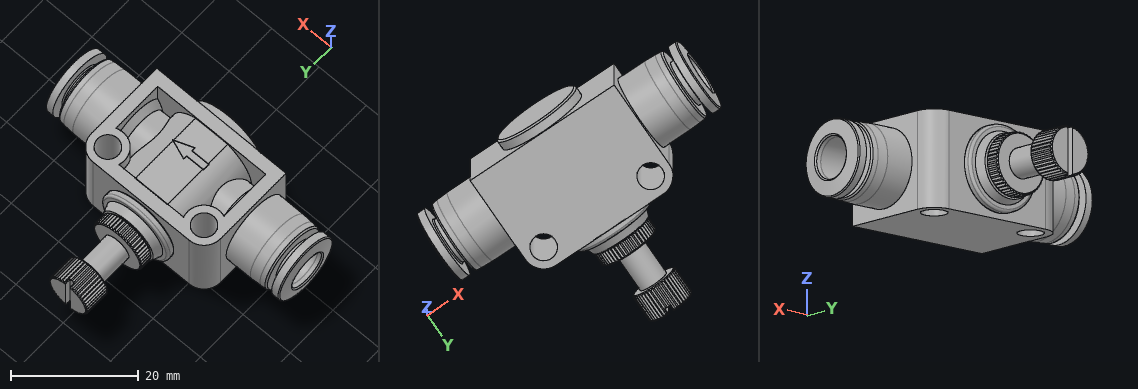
import cadquery as cq
import math

overlap = 0.5

body_length = 27.35
body_height = 16.0
body_front = -7.55
body_back = 11.3
corner_radius = 3.5
mount_hole_radius = 2.15
mount_hole_x = body_length / 2 - corner_radius
mount_hole_y = body_back - corner_radius

side_wall = 2.25
front_wall = 2.3
back_wall = 2.4
pocket_floor_z = 0.0
pocket_length = body_length - 2 * side_wall
pocket_front = body_front + front_wall
pocket_back = body_back - back_wall
chamber_radius = 8.4
chamber_flat_width = 6.8
chamber_flat_z = math.sqrt(chamber_radius**2 - (chamber_flat_width / 2) ** 2)
inner_tube_radius = 5.05
inner_tube_flare = 1.25

arrow_tail_x = -3.55
arrow_tip_x = 3.5
arrow_shaft_width = 1.25
arrow_head_width = 2.6
arrow_thickness = 0.15

fitting_end = 25.05
ring_inner_face = 23.15
collar_end = 22.0
collar_bevel_start = 21.7
collar_land_start = 20.75
collar_taper_start = 18.8
fitting_radius = 6.5
collar_land_radius = 6.4
collar_bevel_radius = 6.3
collar_end_radius = 6.05
groove_radius = 4.05
groove_root_radius = 4.2
groove_root_width = 0.25
ring_radius = 6.35
ring_face_radius = 6.15
ring_face_drop = 0.35
ring_edge_width = 0.2
mouth_radius = 3.75
mouth_chamfer = 0.25
tube_bore_lead_depth = 1.0
tube_bore_radius = 3.4
tube_bore_depth = 10.0
flow_bore_radius = 2.55

cap_radius = 7.5
cap_front = -9.35
cap_chamfer = 0.3

flange_radius = 7.05
flange_top = 12.8
flange_round = 0.45
flange_bottom_chamfer = 0.15
cone_base_radius = 5.9
cone_top_radius = 5.3
cone_top = 14.4
nut_radius = 5.1
nut_top = 16.95
nut_teeth = 48
stem_radius = 2.5
knob_radius = 4.05
knob_bottom = 23.5
knob_top = 28.5
knob_teeth = 40
tooth_depth = 0.25
knurl_chamfer = 0.3
slot_width = 0.95
slot_depth = 1.05


def cylinder_y(radius, start, end):
    """Cylinder around the Y axis between two Y positions."""
    return cq.Workplane("XZ", origin=(0, start, 0)).circle(radius).extrude(start - end)


def revolve_x(points):
    """Solid of revolution around X from (x, radius) points."""
    return cq.Workplane("XY").polyline(points).close().revolve(360, (0, 0), (1, 0))


def both_ends(solid):
    """The solid together with its mirror image at the other end of X."""
    return solid.union(solid.mirror("YZ"))


def block():
    """Rectangular body with its two back corners rounded."""
    depth = body_back - body_front
    middle_y = (body_front + body_back) / 2
    box = cq.Workplane("XY").box(body_length, depth, body_height).translate((0, middle_y, 0))
    return box.edges("|Z and >Y").fillet(corner_radius)


def mount_posts(radius):
    """Full-height cylinders on the two mounting hole axes."""
    return (
        cq.Workplane("XY", origin=(0, 0, -body_height / 2))
        .pushPoints([(-mount_hole_x, mount_hole_y), (mount_hole_x, mount_hole_y)])
        .circle(radius)
        .extrude(body_height)
    )


def chamber():
    """Valve chamber around Y, flattened on top."""
    barrel = cylinder_y(chamber_radius, body_front, body_back)
    above_flat = (
        cq.Workplane("XY", origin=(0, 0, chamber_flat_z))
        .rect(2 * chamber_radius, 2 * body_length)
        .extrude(chamber_radius)
    )
    return barrel.cut(above_flat)


def inner_tube():
    """Flow tube inside the pocket, flared where it meets the right-hand side wall."""
    wall_x = pocket_length / 2
    return revolve_x(
        [
            (0, 0),
            (0, inner_tube_radius),
            (wall_x - inner_tube_flare, inner_tube_radius),
            (wall_x, inner_tube_radius + inner_tube_flare),
            (wall_x + overlap, inner_tube_radius + inner_tube_flare),
            (wall_x + overlap, 0),
        ]
    )


def pocket():
    """Hollow between the body walls and the features standing in it."""
    depth = pocket_back - pocket_front
    middle_y = (pocket_front + pocket_back) / 2
    hollow = (
        cq.Workplane("XY", origin=(0, middle_y, pocket_floor_z))
        .rect(pocket_length, depth)
        .extrude(body_height)
    )
    return hollow.cut(chamber()).cut(both_ends(inner_tube())).cut(mount_posts(corner_radius))


def arrow():
    """Flow direction arrow pointing to +X."""
    half_shaft = arrow_shaft_width / 2
    half_head = arrow_head_width / 2
    return (
        cq.Workplane("XY", origin=(0, 0, chamber_flat_z - overlap))
        .polyline(
            [
                (arrow_tail_x, -half_shaft),
                (0, -half_shaft),
                (0, -half_head),
                (arrow_tip_x, 0),
                (0, half_head),
                (0, half_shaft),
                (arrow_tail_x, half_shaft),
            ]
        )
        .close()
        .extrude(overlap + arrow_thickness)
    )


def fitting():
    """Right-hand tube fitting: tapered collar, groove and release ring."""
    ring_face_x = fitting_end - ring_face_drop
    return revolve_x(
        [
            (body_length / 2 - overlap, 0),
            (body_length / 2 - overlap, fitting_radius),
            (collar_taper_start, fitting_radius),
            (collar_land_start, collar_land_radius),
            (collar_bevel_start, collar_bevel_radius),
            (collar_end, collar_end_radius),
            (collar_end, groove_radius),
            (ring_inner_face - groove_root_width, groove_radius),
            (ring_inner_face, groove_root_radius),
            (ring_inner_face, ring_radius),
            (ring_face_x - ring_edge_width, ring_radius),
            (ring_face_x, ring_face_radius),
            (fitting_end, mouth_radius),
            (fitting_end, 0),
        ]
    )


def tube_socket():
    """Stepped bore of the right-hand fitting, with a chamfered mouth and a slight lead-in."""
    socket_bottom = fitting_end - tube_bore_depth
    return revolve_x(
        [
            (socket_bottom, 0),
            (socket_bottom, tube_bore_radius),
            (fitting_end - tube_bore_lead_depth, tube_bore_radius),
            (fitting_end - mouth_chamfer, mouth_radius - mouth_chamfer),
            (fitting_end, mouth_radius),
            (fitting_end, 0),
        ]
    )


def knurled_disc(radius, teeth, start, end):
    """Disc around Y with straight V-shaped teeth and chamfered rims."""
    points = []
    for i in range(2 * teeth):
        angle = math.pi * i / teeth
        r = radius - tooth_depth * (i % 2)
        points.append((r * math.cos(angle), r * math.sin(angle)))
    toothed = cq.Workplane("XZ", origin=(0, start, 0)).polyline(points).close().extrude(start - end)
    envelope = cylinder_y(radius, start, end).edges().chamfer(knurl_chamfer)
    return toothed.intersect(envelope)


def screw_base():
    """Flange with a rounded top rim and chamfered bottom rim, and the cone above it."""
    disc = cylinder_y(flange_radius, body_back, flange_top)
    flange = disc.edges(">Y").fillet(flange_round).edges("<Y").chamfer(flange_bottom_chamfer)
    cone = (
        cq.Workplane("XY")
        .polyline(
            [
                (0, flange_top),
                (cone_base_radius, flange_top),
                (cone_top_radius, cone_top),
                (0, cone_top),
            ]
        )
        .close()
        .revolve(360, (0, 0), (0, 1))
    )
    return flange.union(cone)


def knob():
    """Knurled knob with a screwdriver slot along Z."""
    slot = cq.Workplane("XY").box(slot_width, 2 * slot_depth, 3 * knob_radius).translate((0, knob_top, 0))
    return knurled_disc(knob_radius, knob_teeth, knob_bottom, knob_top).cut(slot)


cap = cylinder_y(cap_radius, cap_front, body_front + overlap).edges("<Y").chamfer(cap_chamfer)
stem = cylinder_y(stem_radius, body_back, knob_bottom + overlap)
flow_bore = cq.Workplane("YZ").circle(flow_bore_radius).extrude(fitting_end, both=True)

result = (
    block()
    .cut(pocket())
    .union(arrow())
    .union(both_ends(fitting()))
    .union(cap)
    .union(screw_base())
    .union(stem)
    .union(knurled_disc(nut_radius, nut_teeth, cone_top, nut_top))
    .union(knob())
    .cut(mount_posts(mount_hole_radius))
    .cut(both_ends(tube_socket()))
    .cut(flow_bore)
)